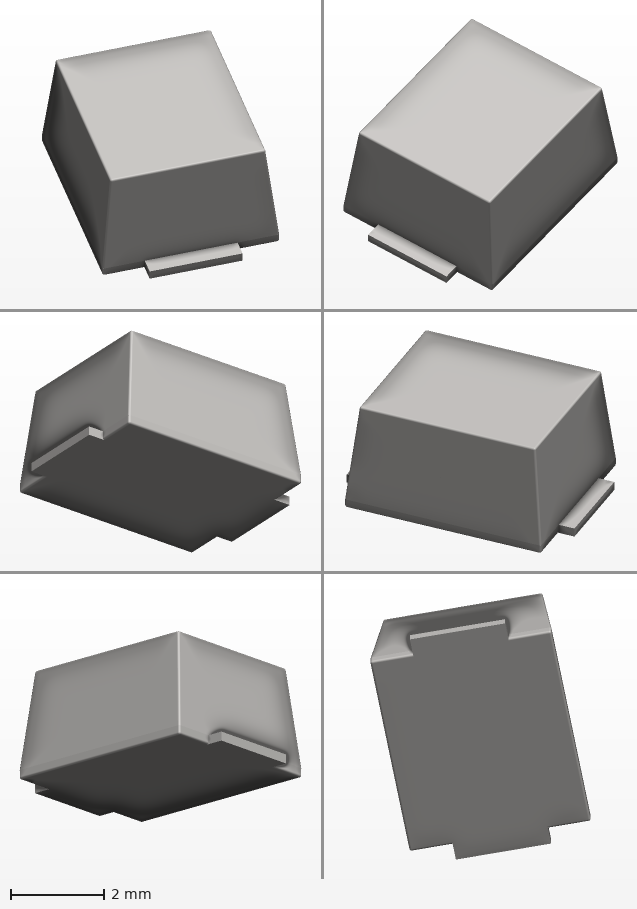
import cadquery as cq

overall_length = 5.35
body_length = 4.61
body_width = 3.95
body_height = 2.45

base_height = 0.205
top_inset = 0.24
edge_radius = 0.05

lead_width = 2.075
lead_thickness = base_height
lead_depth_in_body = 0.535
lead_overhang = (overall_length - body_length) / 2
lead_length = lead_overhang + lead_depth_in_body


def make_lead(side):
    """Flat terminal on the -X (side = -1) or +X (side = 1) end."""
    centre_x = side * (overall_length - lead_length) / 2
    return (
        cq.Workplane("XY")
        .center(centre_x, 0)
        .rect(lead_length, lead_width)
        .extrude(lead_thickness)
    )


def make_body(leads):
    """Rounded, tapered package with a recess for each terminal."""
    base = cq.Workplane("XY").rect(body_length, body_width).extrude(base_height)
    tapered_top = (
        cq.Workplane("XY")
        .workplane(offset=base_height)
        .rect(body_length, body_width)
        .workplane(offset=body_height - base_height)
        .rect(body_length - 2 * top_inset, body_width - 2 * top_inset)
        .loft(ruled=True)
    )
    body = base.union(tapered_top)
    seam = cq.selectors.BoxSelector(
        (-body_length, -body_width, base_height - edge_radius),
        (body_length, body_width, base_height + edge_radius),
    )
    rounded_edges = cq.selectors.InverseSelector(seam)
    body = body.edges(rounded_edges).fillet(edge_radius)
    for lead in leads:
        body = body.cut(lead)
    return body


leads = [make_lead(side) for side in (-1, 1)]
body = make_body(leads)

result = cq.Compound.makeCompound([body.val(), *[lead.val() for lead in leads]])